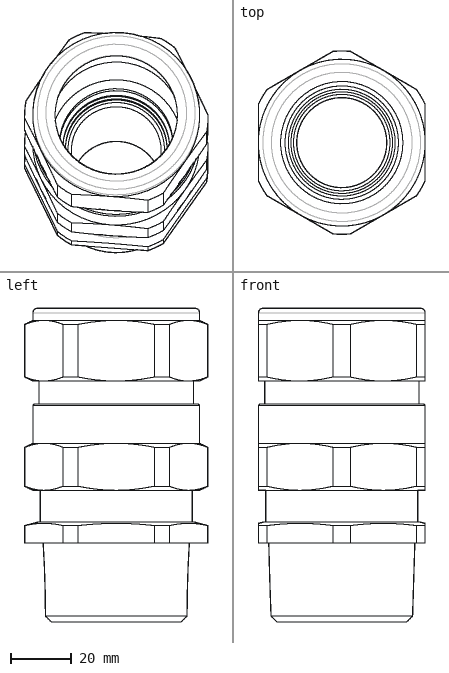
import cadquery as cq
import math

across_flats = 55.0
corner_radius = 30.25
flat_radius = across_flats / 2

thread_chamfer = 2.0
flange_bottom = 26.0
flange_top = 33.0
body_bottom = 43.4
body_hex_top = 58.9
collar_top = 71.9
nut_bottom = 79.4
nut_hex_top = 99.4
nut_top = 103.4

thread_top_radius = 24.13
thread_half_taper = 1 / 32
entry_neck_radius = 25.1
flange_face_radius = 25.7
flange_cone_angle = 15.0
entry_bore_radius = 14.8
entry_top = 54.0
seat_radii = [15.9, 16.75, 17.6]
seat_step = 1.5
seat_cone = 1.5

body_neck_radius = 25.5
collar_chamfer = 0.5
seal_bore_radius = 21.7
shelf_bore_radius = 18.7
shelf_level = body_hex_top
body_neck_top = 84.2
lead_in_radius = seat_radii[-1]
lead_in_height = 2.0

hex_cone_angle = 26.0
rim_fillet = 1.5
mouth_fillet = 3.05
throat_radius = 20.15
throat_land = 0.8


def revolve_profile(profile):
    """Turn a closed profile drawn in radius (X) and height (Z) around the Z axis."""
    return profile.close().revolve(360, (0, 0, 0), (0, 1, 0))


def turned(points):
    return revolve_profile(cq.Workplane("XZ").polyline(points))


def hexagon(bottom, top, face_radius, cone_angle, coned_below=True):
    """Hexagonal prism, flats across X, cut by a cylinder coned at the top and, if asked, below."""
    drop = (corner_radius - face_radius) * math.tan(math.radians(cone_angle))
    points = [(0, top), (face_radius, top), (corner_radius, top - drop)]
    if coned_below:
        points += [(corner_radius, bottom + drop), (face_radius, bottom)]
    else:
        points.append((corner_radius, bottom))
    points.append((0, bottom))
    envelope = turned(points)
    across_corners = across_flats / math.cos(math.radians(30))
    prism = (
        cq.Workplane("XY")
        .workplane(offset=bottom)
        .transformed(rotate=(0, 0, 30))
        .polygon(6, across_corners)
        .extrude(top - bottom)
    )
    return prism.intersect(envelope)


def cylinder(radius, bottom, top):
    return cq.Workplane("XY").workplane(offset=bottom).circle(radius).extrude(top - bottom)


def make_entry_body():
    """Tapered thread, thin hexagonal flange and the neck that enters the middle body."""
    chamfer_radius = thread_top_radius - (flange_bottom - thread_chamfer) * thread_half_taper
    thread = turned([
        (0, 0),
        (chamfer_radius - thread_chamfer, 0),
        (chamfer_radius, thread_chamfer),
        (thread_top_radius, flange_bottom),
        (0, flange_bottom),
    ])
    flange = hexagon(flange_bottom, flange_top, flange_face_radius, flange_cone_angle, coned_below=False)
    neck = cylinder(entry_neck_radius, flange_top, entry_top)
    entry = thread.union(flange).union(neck)
    return entry.cut(make_entry_bore())


def make_entry_bore():
    """Through bore with a cone into a seat that widens upward in steps."""
    seat_bottom = entry_top - seat_step * (len(seat_radii) - 1)
    points = [(0, 0), (entry_bore_radius, 0), (entry_bore_radius, seat_bottom - seat_cone)]
    points.append((seat_radii[0], seat_bottom))
    for step, radius in enumerate(seat_radii[1:]):
        points.append((radius, seat_bottom + step * seat_step))
        points.append((radius, seat_bottom + (step + 1) * seat_step))
    points.append((0, entry_top))
    return turned(points)


def make_middle_body():
    """Hexagon, round collar and the neck that carries the cap nut."""
    hexagon_part = hexagon(body_bottom, body_hex_top, flat_radius, hex_cone_angle)
    collar = cylinder(flat_radius, body_hex_top, collar_top).faces(">Z").chamfer(collar_chamfer)
    neck = cylinder(body_neck_radius, collar_top, body_neck_top)
    socket = cylinder(entry_neck_radius, body_bottom, entry_top)
    bore = turned([
        (0, entry_top),
        (lead_in_radius, entry_top),
        (shelf_bore_radius, entry_top + lead_in_height),
        (shelf_bore_radius, shelf_level),
        (seal_bore_radius, shelf_level),
        (seal_bore_radius, body_neck_top),
        (0, body_neck_top),
    ])
    return hexagon_part.union(collar).union(neck).cut(socket).cut(bore)


def make_cap_nut():
    """Hexagonal nut with a round rim and a mouth rounded down to a narrow throat."""
    throat_top = nut_top - mouth_fillet
    throat_bottom = throat_top - throat_land
    nut_hex = hexagon(nut_bottom, nut_hex_top, flat_radius, hex_cone_angle)
    rim = cylinder(flat_radius, nut_hex_top, nut_top).faces(">Z").edges().fillet(rim_fillet)
    socket = cylinder(body_neck_radius, nut_bottom, body_neck_top)
    bore = cylinder(seal_bore_radius, body_neck_top, throat_bottom)
    diagonal = mouth_fillet * math.sqrt(0.5)
    mouth_radius = throat_radius + mouth_fillet
    mouth = revolve_profile(
        cq.Workplane("XZ")
        .moveTo(0, throat_bottom)
        .lineTo(throat_radius, throat_bottom)
        .lineTo(throat_radius, throat_top)
        .threePointArc((mouth_radius - diagonal, throat_top + diagonal), (mouth_radius, nut_top))
        .lineTo(0, nut_top)
    )
    return nut_hex.union(rim).cut(socket).cut(bore).cut(mouth)


entry_body = make_entry_body()
middle_body = make_middle_body()
cap_nut = make_cap_nut()

result = cq.Compound.makeCompound([entry_body.val(), middle_body.val(), cap_nut.val()])